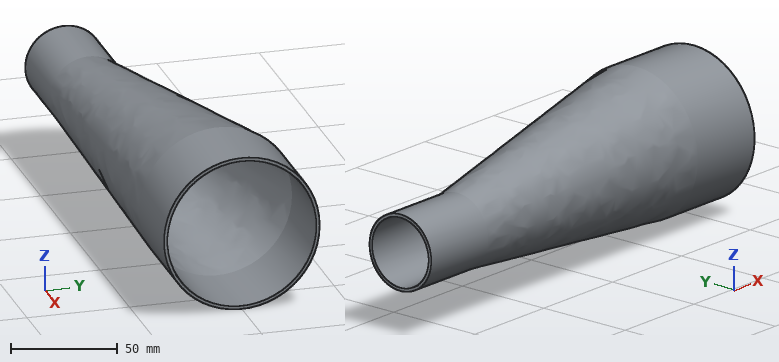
import cadquery as cq

total_length = 235.0
small_end_length = 41.4
large_end_length = 41.4
small_diameter = 38.0
large_diameter = 76.1
wall = 1.6

axis_offset = (large_diameter - small_diameter) / 2
taper_length = total_length - small_end_length - large_end_length


def eccentric_body(inset):
    """Solid small tube, taper and large tube, with every radius reduced by inset."""
    small_radius = small_diameter / 2 - inset
    large_radius = large_diameter / 2 - inset
    small_tube = (
        cq.Workplane("YZ").center(-axis_offset, 0).circle(small_radius).extrude(small_end_length)
    )
    taper = (
        cq.Workplane("YZ", origin=(small_end_length, 0, 0))
        .center(-axis_offset, 0)
        .circle(small_radius)
        .workplane(offset=taper_length)
        .center(axis_offset, 0)
        .circle(large_radius)
        .loft(ruled=True)
    )
    large_tube = (
        cq.Workplane("YZ", origin=(total_length - large_end_length, 0, 0))
        .circle(large_radius)
        .extrude(large_end_length)
    )
    return small_tube.union(taper).union(large_tube)


outer_body = eccentric_body(0)
bore = eccentric_body(wall)
result = outer_body.cut(bore)